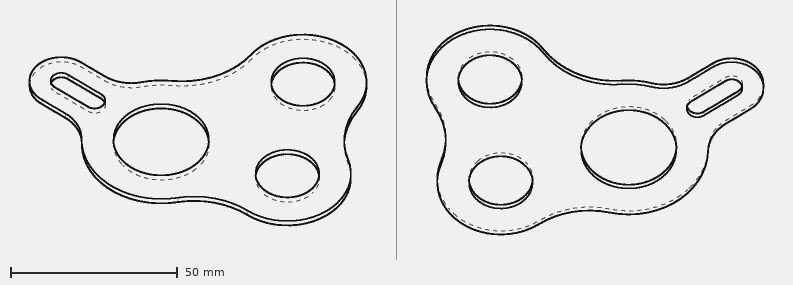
import cadquery as cq
import math

INCH = 25.4
thickness = 0.08 * INCH

main_center = (0.0, 0.0)
main_hole_diameter = 1.125 * INCH
main_radius = 0.9375 * INCH

upper_center = (0.75 * INCH, 1.75 * INCH)
side_center = (1.5 * INCH, 0.5 * INCH)
lobe_hole_diameter = 0.75 * INCH
lobe_radius = lobe_hole_diameter

tab_center_x = -1.5 * INCH
tab_radius = 0.375 * INCH
slot_inner_x = -1.0 * INCH
slot_width = 0.25 * INCH

lobe_blend_radius = 1.0 * INCH
tab_blend_radius = 0.5 * INCH


def toward(start, target, distance):
    """Point at a given distance from start, in the direction of target."""
    dx = target[0] - start[0]
    dy = target[1] - start[1]
    scale = distance / math.hypot(dx, dy)
    return (start[0] + dx * scale, start[1] + dy * scale)


def arc_middle(center, radius, start, end):
    """Middle of the shorter arc between two points on a circle."""
    chord_middle = ((start[0] + end[0]) / 2, (start[1] + end[1]) / 2)
    return toward(center, chord_middle, radius)


def blend_arc(center_a, radius_a, center_b, radius_b, blend_radius):
    """Start, middle and end of the concave arc from circle a to circle b.

    The arc touches both circles from outside. Its centre lies to the right of
    the direction a to b, the outer side when the outline runs counterclockwise.
    """
    dx = center_b[0] - center_a[0]
    dy = center_b[1] - center_a[1]
    spacing = math.hypot(dx, dy)
    reach_a = radius_a + blend_radius
    reach_b = radius_b + blend_radius
    along = (spacing**2 + reach_a**2 - reach_b**2) / (2 * spacing)
    across = math.sqrt(reach_a**2 - along**2)
    blend_center = (
        center_a[0] + (along * dx + across * dy) / spacing,
        center_a[1] + (along * dy - across * dx) / spacing,
    )
    start = toward(center_a, blend_center, radius_a)
    end = toward(center_b, blend_center, radius_b)
    return start, arc_middle(blend_center, blend_radius, start, end), end


def tab_blend_arc():
    """Start, middle and end of the arc from the tab's lower edge to the main ring."""
    center_y = -(tab_radius + tab_blend_radius)
    center_x = -math.sqrt((main_radius + tab_blend_radius) ** 2 - center_y**2)
    blend_center = (center_x, center_y)
    start = (center_x, -tab_radius)
    end = toward(main_center, blend_center, main_radius)
    return start, arc_middle(blend_center, tab_blend_radius, start, end), end


def mirrored(point):
    """Point reflected across the tab's centreline, the X axis."""
    return (point[0], -point[1])


def build_plate():
    """Outer outline, drawn counterclockwise from the tab's lower edge."""
    tab_start, tab_middle, tab_end = tab_blend_arc()
    main_side = blend_arc(main_center, main_radius, side_center, lobe_radius, lobe_blend_radius)
    side_upper = blend_arc(side_center, lobe_radius, upper_center, lobe_radius, lobe_blend_radius)
    upper_main = blend_arc(upper_center, lobe_radius, main_center, main_radius, lobe_blend_radius)

    main_bottom = (main_center[0], main_center[1] - main_radius)
    side_right = (side_center[0] + lobe_radius, side_center[1])
    upper_top = (upper_center[0], upper_center[1] + lobe_radius)
    main_left_middle = arc_middle(main_center, main_radius, upper_main[2], mirrored(tab_end))

    return (
        cq.Workplane("XY")
        .moveTo(tab_center_x, -tab_radius)
        .lineTo(*tab_start)
        .threePointArc(tab_middle, tab_end)
        .threePointArc(main_bottom, main_side[0])
        .threePointArc(main_side[1], main_side[2])
        .threePointArc(side_right, side_upper[0])
        .threePointArc(side_upper[1], side_upper[2])
        .threePointArc(upper_top, upper_main[0])
        .threePointArc(upper_main[1], upper_main[2])
        .threePointArc(main_left_middle, mirrored(tab_end))
        .threePointArc(mirrored(tab_middle), mirrored(tab_start))
        .lineTo(tab_center_x, tab_radius)
        .threePointArc((tab_center_x - tab_radius, 0), (tab_center_x, -tab_radius))
        .close()
        .extrude(thickness)
    )


def round_hole(center, diameter):
    """Cutter for a round through hole."""
    return cq.Workplane("XY").center(*center).circle(diameter / 2).extrude(thickness)


def tab_slot():
    """Cutter for the round-ended through slot along the tab."""
    slot_length = slot_inner_x - tab_center_x + slot_width
    slot_middle_x = (slot_inner_x + tab_center_x) / 2
    return cq.Workplane("XY").center(slot_middle_x, 0).slot2D(slot_length, slot_width).extrude(thickness)


result = build_plate().cut(round_hole(main_center, main_hole_diameter)).cut(tab_slot())
for lobe_center in (upper_center, side_center):
    result = result.cut(round_hole(lobe_center, lobe_hole_diameter))